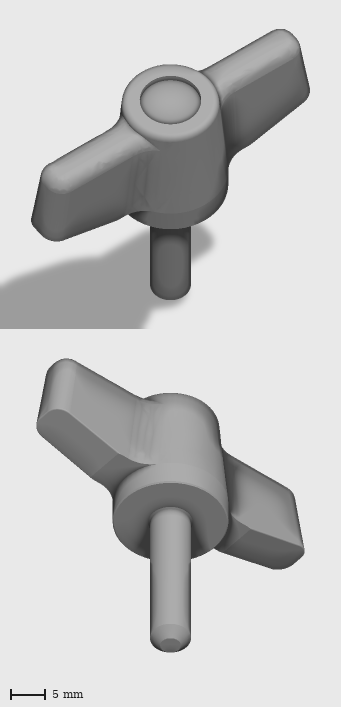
import cadquery as cq

total_height = 45.0
wing_span = 47.95
collar_diameter = 16.9
stud_diameter = 6.0
recess_diameter = 8.95

collar_bottom = 25.05
collar_top = 28.9
wing_top = 43.95
wing_tip_bottom = 31.95

hub_top_radius = 7.05
hub_top_fillet = 0.95
collar_edge_chamfer = 0.2
recess_depth = 1.0
stud_tip_chamfer = 1.5
stud_root_chamfer = 0.25

upright_side = 3.3
leaning_side_bottom = 3.35
leaning_side_top = 2.3
tip_draft = 0.12
underside_start = 12.45
root_fillet = 5.0
tip_fillet = 2.4
wing_top_fillet = 2.0
underside_fillet = 0.2

collar_radius = collar_diameter / 2
wing_height = wing_top - collar_top
half_span = wing_span / 2
hub_slope = (collar_radius - hub_top_radius) / (total_height - collar_top)


def make_hub(top):
    """Cone rising from the collar to the given height, its seam hidden inside a wing."""
    top_radius = collar_radius - hub_slope * (top - collar_top)
    profile = [(0, collar_top), (collar_radius, collar_top), (top_radius, top), (0, top)]
    return cq.Workplane("YZ").polyline(profile).close().revolve(360, (0, 0), (0, 1))


def make_wing():
    """Drafted block of the -Y wing, from the axis to the tip."""
    widest_height = wing_tip_bottom - collar_top + underside_fillet
    bottom_length = half_span + tip_draft * widest_height
    top_length = bottom_length - tip_draft * wing_height
    return (
        cq.Workplane("XY", origin=(0, 0, collar_top))
        .polyline([(-leaning_side_bottom, 0), (upright_side, 0),
                   (upright_side, -bottom_length), (-leaning_side_bottom, -bottom_length)])
        .close()
        .workplane(offset=wing_height)
        .polyline([(-leaning_side_top, 0), (upright_side, 0),
                   (upright_side, -top_length), (-leaning_side_top, -top_length)])
        .close()
        .loft(ruled=True)
    )


def make_underside_cutter():
    """Wedge below the rising underside of the -Y wing."""
    rise = (wing_tip_bottom - collar_top) / (half_span - underside_start)
    reach = wing_span
    return (
        cq.Workplane("YZ")
        .polyline([(-underside_start, collar_top), (-reach, collar_top),
                   (-reach, collar_top + rise * (reach - underside_start))])
        .close()
        .extrude(collar_radius, both=True)
    )


def upright_edges(body, at_tip):
    """Rising edges of the wings, either at their tips or at the hub."""
    tip_limit = (half_span + collar_radius) / 2
    edges = []
    for edge in body.edges().vals():
        rises = edge.BoundingBox().zlen > wing_height / 2
        off_seam = abs(edge.Center().y) > upright_side
        beyond_limit = abs(edge.Center().y) > tip_limit
        if rises and off_seam and beyond_limit == at_tip:
            edges.append(edge)
    return body.newObject(edges)


def underside_rim(body):
    """Outer edges of both rising undersides, without their straight inner ends."""
    edges = []
    for edge in body.edges().vals():
        box = edge.BoundingBox()
        below_tip = box.zmax < wing_tip_bottom + wing_top_fillet
        off_flat = box.zmax > (collar_top + wing_tip_bottom) / 2
        if below_tip and off_flat:
            edges.append(edge)
    return body.newObject(edges)


def half_turn(body):
    return body.rotate((0, 0, 0), (0, 0, 1), 180)


wing = make_wing()
handle = make_hub(wing_top).union(wing).union(half_turn(wing))
handle = upright_edges(handle, at_tip=False).fillet(root_fillet)
handle = upright_edges(handle, at_tip=True).fillet(tip_fillet)
handle = handle.faces(">Z").edges().fillet(wing_top_fillet)
cutter = make_underside_cutter()
handle = handle.cut(cutter).cut(half_turn(cutter))
handle = underside_rim(handle).fillet(underside_fillet)

hub = make_hub(total_height).faces(">Z").edges().fillet(hub_top_fillet)

collar = (
    cq.Workplane("XY", origin=(0, 0, collar_bottom))
    .circle(collar_radius)
    .extrude(collar_top - collar_bottom)
    .faces("<Z")
    .edges()
    .chamfer(collar_edge_chamfer)
)

stud_radius = stud_diameter / 2
stud = (
    cq.Workplane("XZ")
    .polyline([(0, 0), (stud_radius - stud_tip_chamfer, 0), (stud_radius, stud_tip_chamfer),
               (stud_radius, collar_bottom - stud_root_chamfer),
               (stud_radius + stud_root_chamfer, collar_bottom), (0, collar_bottom)])
    .close()
    .revolve(360, (0, 0), (0, 1))
)

recess = (
    cq.Workplane("XY", origin=(0, 0, total_height - recess_depth))
    .circle(recess_diameter / 2)
    .extrude(recess_depth)
)

result = handle.union(hub).union(collar).union(stud).cut(recess)